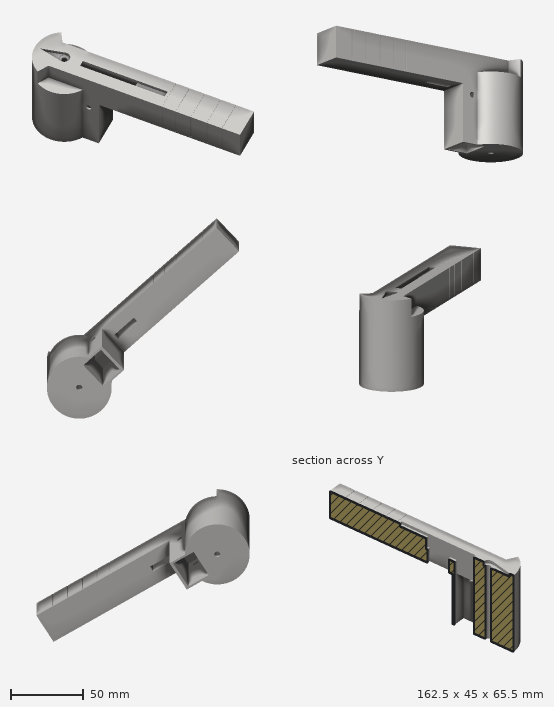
import cadquery as cq
import math

total_length = 162.5
total_height = 65.5
hub_radius = 22.5
hub_left = -hub_radius
arm_right = hub_left + total_length

arm_width = 23.0
arm_height = 23.0
arm_bottom = total_height - arm_height
column_right = hub_left + 54.3

shoulder_depth = 13.0
flare_start = hub_left + 15.8
flare_angle = math.radians(60)

shaft_hole_diameter = 4.2
counterbore_diameter = 8.3
counterbore_depth = 2.8
pointer_reach = 18.5
pointer_depth = 2.5

pin_diameter = 4.0
pin_x = hub_left + 46.3
pin_z = 35.5

slot_width = 4.7
slot_left = hub_left + 35.6
slot_right = hub_left + 100.6
shallow_slot_depth = 2.5
deep_slot_right = hub_left + 77.4
deep_slot_depth = arm_height / 2
slot_ledge_width = 0.5
column_opening_right = hub_left + 52.2
arm_opening_left = hub_left + 57.7
arm_opening_right = hub_left + 76.0

cavity_wall = 1.5
cavity_width = arm_width - 2 * cavity_wall

groove_width = 0.6
groove_depth = 0.25
groove_end_height = 1.3
groove_offsets = [102.9, 113.3, 125.0, 137.2, 148.8]


def box(x_min, x_max, y_min, y_max, z_min, z_max):
    """Box given by its limits along each axis."""
    size = (x_max - x_min, y_max - y_min, z_max - z_min)
    return cq.Workplane("XY").box(*size, centered=False).translate((x_min, y_min, z_min))


def centred_box(x_min, x_max, width, z_min, z_max):
    """Box symmetric about the XZ plane."""
    return box(x_min, x_max, -width / 2, width / 2, z_min, z_max)


def hub():
    """Round hub whose top is narrowed to the arm, flaring out again at the front."""
    cylinder = cq.Workplane("XY").circle(hub_radius).extrude(total_height)
    side_reach = 2 * hub_radius
    flare_run = (side_reach - arm_width / 2) / math.tan(flare_angle)
    side_cut = (
        cq.Workplane("XY", origin=(0, 0, total_height - shoulder_depth))
        .moveTo(flare_start, arm_width / 2)
        .lineTo(side_reach, arm_width / 2)
        .lineTo(side_reach, side_reach)
        .lineTo(flare_start - flare_run, side_reach)
        .close()
        .extrude(shoulder_depth)
    )
    return cylinder.cut(side_cut).cut(side_cut.mirror("XZ"))


def shaft_hole():
    """Through hole with a counterbore, open at the top."""
    hole = cq.Workplane("XY").circle(shaft_hole_diameter / 2).extrude(total_height)
    counterbore = (
        cq.Workplane("XY", origin=(0, 0, total_height - counterbore_depth))
        .circle(counterbore_diameter / 2)
        .extrude(counterbore_depth)
    )
    return hole.union(counterbore)


def pointer():
    """Triangular recess whose long sides are tangent to the counterbore."""
    radius = counterbore_diameter / 2
    tangent_x = -radius ** 2 / pointer_reach
    tangent_y = math.sqrt(radius ** 2 - tangent_x ** 2)
    return (
        cq.Workplane("XY", origin=(0, 0, total_height - pointer_depth))
        .polyline([(-pointer_reach, 0), (tangent_x, -tangent_y), (tangent_x, tangent_y)])
        .close()
        .extrude(pointer_depth)
    )


def pin_hole():
    """Cross hole through the column along Y."""
    return (
        cq.Workplane("XZ", origin=(pin_x, 0, pin_z))
        .circle(pin_diameter / 2)
        .extrude(arm_width, both=True)
    )


def slot():
    """Shallow slot, its deeper front part, and two openings down to the underside."""
    shallow = centred_box(
        slot_left, slot_right, slot_width, total_height - shallow_slot_depth, total_height
    )
    deep = centred_box(
        slot_left, deep_slot_right, slot_width, total_height - deep_slot_depth, total_height
    )
    cutter = shallow.union(deep)
    openings = [(slot_left, column_opening_right), (arm_opening_left, arm_opening_right)]
    for left, right in openings:
        opening = box(left, right, -slot_width / 2, slot_width / 2 - slot_ledge_width, 0, total_height)
        cutter = cutter.union(opening)
    return cutter


def column_cavity():
    """Hollow below the arm that leaves thin side walls for the pivot pin."""
    return centred_box(slot_left, column_opening_right, cavity_width, 0, arm_bottom)


def groove(centre_x):
    """Narrow groove over the top and both sides, stopping short of the underside."""
    left = centre_x - groove_width / 2
    right = centre_x + groove_width / 2
    bottom = arm_bottom + groove_end_height
    band = centred_box(left, right, arm_width, bottom, total_height)
    core = centred_box(
        left, right, arm_width - 2 * groove_depth, bottom, total_height - groove_depth
    )
    return band.cut(core)


arm = centred_box(0, arm_right, arm_width, arm_bottom, total_height)
column = centred_box(0, column_right, arm_width, 0, total_height)

result = hub().union(arm).union(column)
result = result.cut(shaft_hole()).cut(pointer())
result = result.cut(pin_hole()).cut(slot()).cut(column_cavity())
for offset in groove_offsets:
    result = result.cut(groove(hub_left + offset))